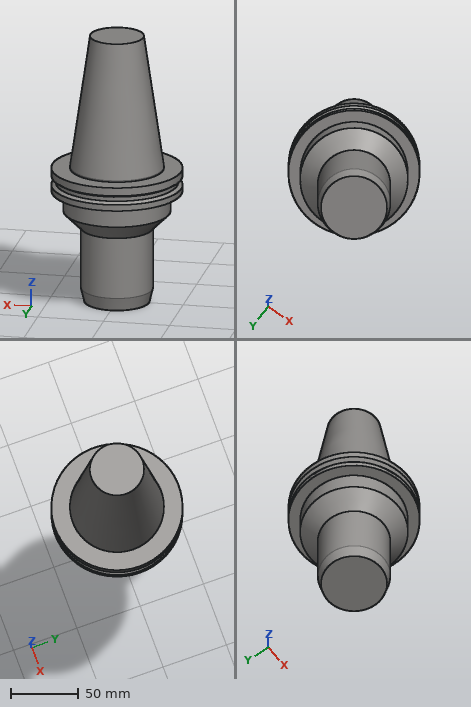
import cadquery as cq
import math

total_height = 206.8

nose_tip_diameter = 49.0
nose_diameter = 54.0
nose_taper_height = 10.5
body_diameter = 80.0
shoulder_top = 70.3
shoulder_height = (body_diameter - nose_diameter) / 2
shoulder_bottom = shoulder_top - shoulder_height

flange_diameter = 97.5
flange_bottom = 85.8
flange_top = 103.8
groove_diameter = 91.2
groove_bottom = 90.5
groove_top = 97.5
groove_wall_angle = 30.0
groove_depth = (flange_diameter - groove_diameter) / 2
groove_wall_height = groove_depth * math.tan(math.radians(groove_wall_angle))

gauge_diameter = 69.9
taper_bottom = 105.0
taper_ratio = 7 / 24
taper_tip_diameter = gauge_diameter - taper_ratio * (total_height - taper_bottom)

profile = [
    (nose_tip_diameter, 0),
    (nose_diameter, nose_taper_height),
    (nose_diameter, shoulder_bottom),
    (body_diameter, shoulder_top),
    (body_diameter, flange_bottom),
    (flange_diameter, flange_bottom),
    (flange_diameter, groove_bottom),
    (groove_diameter, groove_bottom + groove_wall_height),
    (groove_diameter, groove_top - groove_wall_height),
    (flange_diameter, groove_top),
    (flange_diameter, flange_top),
    (gauge_diameter, flange_top),
    (gauge_diameter, taper_bottom),
    (taper_tip_diameter, total_height),
]

half_section = [(diameter / 2, height) for diameter, height in profile]
result = (
    cq.Workplane("XZ")
    .polyline([(0, 0)] + half_section + [(0, total_height)])
    .close()
    .revolve(360, (0, 0, 0), (0, 1, 0))
)